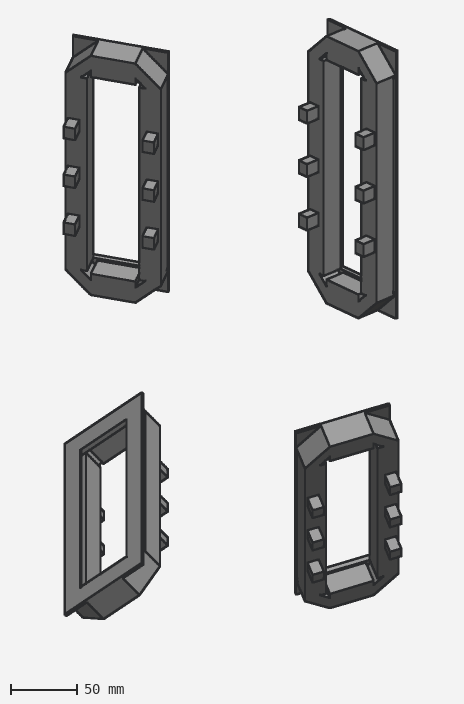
import cadquery as cq
import math

WIDTH = 75.0
HEIGHT = 225.0
PLATE_THICKNESS = 2.0

BODY_DEPTH = 20.0
CORNER_CUT = 20.0
END_BAR_HEIGHT = 20.0

RAIL_WIDTH = 17.0
WINDOW_WIDTH = WIDTH - 2 * RAIL_WIDTH
WINDOW_HEIGHT = 181.0
PLATE_WINDOW_STEP = 2.0
PLATE_WINDOW_WIDTH = WINDOW_WIDTH + 2 * PLATE_WINDOW_STEP

CORNER_WALL = 10.1
RELIEF_INNER_X = WIDTH / 2 - CORNER_CUT

GAP_DEPTH = 2.5

PEG_WIDTH = 9.0
PEG_HEIGHT = 10.8
PEG_LENGTH = 11.7
PEG_EDGE_MARGIN = 2.0
PEG_PITCH = 45.0

PLATE_FRONT_Y = -PLATE_THICKNESS
RAIL_BACK_Y = PLATE_FRONT_Y - GAP_DEPTH
BODY_FRONT_Y = PLATE_FRONT_Y - BODY_DEPTH


def box_between_y(width, height, back_y, front_y):
    """Box centred on X and Z that spans back_y to front_y."""
    depth = back_y - front_y
    return cq.Workplane("XY").box(width, depth, height).translate((0, (back_y + front_y) / 2, 0))


def make_body():
    """Block with its four corners cut off at 45 degrees."""
    block = box_between_y(WIDTH, HEIGHT, PLATE_FRONT_Y, BODY_FRONT_Y)
    return block.edges("|Y").chamfer(CORNER_CUT)


def make_end_relief(side):
    """Strip between window and end bar with a pointed relief at each end; side is +1 (top) or -1."""
    strip_z = side * WINDOW_HEIGHT / 2
    bar_z = side * (HEIGHT / 2 - END_BAR_HEIGHT)
    slope_sum = WIDTH / 2 + HEIGHT / 2 - CORNER_CUT - CORNER_WALL * math.sqrt(2)
    tip_z = side * (slope_sum - RELIEF_INNER_X)
    outer_x = slope_sum - WINDOW_HEIGHT / 2
    outline = [
        (-outer_x, strip_z),
        (-RELIEF_INNER_X, tip_z),
        (-RELIEF_INNER_X, bar_z),
        (RELIEF_INNER_X, bar_z),
        (RELIEF_INNER_X, tip_z),
        (outer_x, strip_z),
    ]
    plane = cq.Workplane("XZ", origin=(0, RAIL_BACK_Y, 0))
    return plane.polyline(outline).close().extrude(BODY_DEPTH - GAP_DEPTH)


def make_pegs():
    """Three rectangular pegs on each side rail."""
    peg_x = WIDTH / 2 - PEG_EDGE_MARGIN - PEG_WIDTH / 2
    centers = [(side * peg_x, row * PEG_PITCH) for side in (-1, 1) for row in (-1, 0, 1)]
    plane = cq.Workplane("XZ", origin=(0, BODY_FRONT_Y, 0))
    return plane.pushPoints(centers).rect(PEG_WIDTH, PEG_HEIGHT).extrude(PEG_LENGTH)


plate = box_between_y(WIDTH, HEIGHT, 0, PLATE_FRONT_Y)
plate_window = box_between_y(PLATE_WINDOW_WIDTH, WINDOW_HEIGHT, 0, PLATE_FRONT_Y)
body_window = box_between_y(WINDOW_WIDTH, WINDOW_HEIGHT, PLATE_FRONT_Y, BODY_FRONT_Y)
rail_gap = box_between_y(WIDTH, WINDOW_HEIGHT, PLATE_FRONT_Y, RAIL_BACK_Y)

result = plate.union(make_body()).cut(plate_window).cut(body_window).cut(rail_gap)
for end in (-1, 1):
    result = result.cut(make_end_relief(end))
result = result.union(make_pegs())